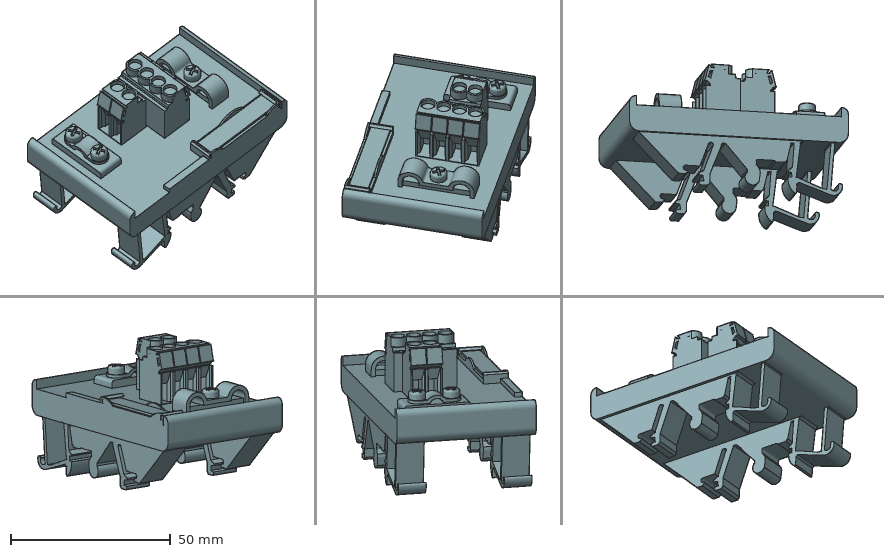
import cadquery as cq


TRAY_X = 45.0
TRAY_Y = 70.0
FLOOR_Z = 8.4
LIP_Z = 11.4
LIP_WIDTH = 2.25
LIP_RADIUS = 2.2
BOTTOM_RADIUS = 3.0
RIGHT_X = TRAY_X / 2
OVERLAP = 0.35

FOOT_WIDTH = 8.95
FOOT_CENTRE_X = 17.1

FOUR_POLE_LENGTH = 20.4
PITCH = FOUR_POLE_LENGTH / 4
BLOCK_CENTRE_Y = -2.4
FOUR_POLE_X = -15.05
TWO_POLE_X = -12.45
BLOCK_INNER = 0.3
BLOCK_OUTER = 11.3
BLOCK_HEIGHT = 16.7
SHELF_HEIGHT = 13.85
COLLAR_CENTRE = 5.25
COLLAR_RADIUS = 2.8
SCREW_HOLE_RADIUS = 2.2
SCREW_HOLE_DEPTH = 1.5
TOP_CORNER = 9.5
UNDERCUT = 9.95
LID_INNER = 8.7
LID_OUTER = 11.8
LID_BOTTOM = 11.2
LID_GAP = 0.35
ENTRY_SILL = 0.2
ENTRY_WIDTH = 4.2
ENTRY_HEIGHT = 9.8
ENTRY_MOUTH = 1.1
FUNNEL_DEPTH = 0.9
WIRE_WIDTH = 2.9
WIRE_HEIGHT = 6.1
WIRE_DEPTH = 4.2

LABEL_X = 14.5
LABEL_Y_MIN = 0.1
LABEL_Y_MAX = 32.35
LABEL_BASE = 1.5
LABEL_TOP = 2.25
LABEL_PLATE_X = 15.3
LABEL_PLATE_WIDTH = 6.3
LABEL_END_WALL = 0.85
CLIP_HEIGHT = 3.5
EAR_THICKNESS = 0.6
EAR_HALF_LENGTH = 5.4
SIDE_EAR_OFFSET = 2.0
EAR_END_OFFSET = 1.1

RIB_WIDTH = 2.5
RIB_HEIGHT = 1.5
RIB_Y_MIN = -17.5

SCREW_RADIUS = 2.65
SCREW_HEIGHT = 2.5
SCREW_ROUNDING = 0.9
CROSS_LENGTH = 3.65
CROSS_WIDTH = 0.8
CROSS_DEPTH = 0.85
CROSS_ANGLE = 25

HOOP_RADIUS = 4.1
HOOP_CENTRE_Z = 2.3
DOUBLE_STRAP = 1.4
DOUBLE_BEND = 0.7
PAD_HEIGHT = 1.9
PAD_INSET = 1.0
DOUBLE_X_MIN = -17.35
DOUBLE_X_MAX = 7.2
DOUBLE_Y = 20.8
DOUBLE_WIDTH = 7.2

BASE_X_MIN = -18.35
BASE_X_MAX = 3.15
BASE_Y = -23.8
BASE_WIDTH = 9.1
BASE_HEIGHT = 2.45
STRAP = 1.0
BASE_ROUNDING = 1.05
SADDLE_X = -7.55
SADDLE_LENGTH = 16.95
SADDLE_WIDTH = 6.3
SADDLE_SCREW_OFFSET = 5.5
HUMP_HALF = 3.15
HUMP_MIDDLE_RISE = 1.0
HUMP_EDGE_RISE = 1.4
HUMP_MIDDLE_WIDTH = 2.0


def box(x_min, x_max, y_min, y_max, z_min, z_max):
    """Block between the given limits."""
    size = (x_max - x_min, y_max - y_min, z_max - z_min)
    return cq.Workplane("XY").box(*size, centered=False).translate((x_min, y_min, z_min))


def make_tray():
    half = TRAY_Y / 2
    lip = half - LIP_WIDTH
    blank = cq.Workplane("YZ").rect(TRAY_Y, LIP_Z).extrude(TRAY_X)
    blank = blank.edges("|X and >Z").fillet(LIP_RADIUS).edges("|X and <Z").fillet(BOTTOM_RADIUS)
    blank = blank.translate((-RIGHT_X, 0, LIP_Z / 2))
    return blank.cut(box(-RIGHT_X, RIGHT_X, -lip, lip, FLOOR_Z, LIP_Z))


def make_foot(centre_x):
    """Sprung foot: fixed hook, spring arm, round nose and release lever."""
    foot = (
        cq.Workplane("YZ")
        .moveTo(31.85, OVERLAP).lineTo(31.85, 0)
        .lineTo(19.2, -12.75).lineTo(17.1, -12.75).lineTo(16.1, -12.05).lineTo(16.5, -11.55)
        .threePointArc((17.6, -10.65), (16.65, -10.0)).lineTo(12.3, -10.0)
        .lineTo(9.5, -2.5).threePointArc((8.8, -2.1), (8.0, -2.9))
        .lineTo(11.05, -11.3).lineTo(12.75, -12.25).lineTo(12.8, -12.8).lineTo(11.35, -13.0)
        .lineTo(11.05, -14.6).lineTo(12.45, -14.9).threePointArc((12.5, -15.7), (11.8, -16.1))
        .lineTo(9.8, -16.1).lineTo(9.2, -15.25).lineTo(9.2, -12.5)
        .lineTo(5.1, -2.2).lineTo(4.1, -2.2).lineTo(-2.9, -10.3).lineTo(-2.9, -11.05)
        .threePointArc((-3.5, -14.9), (-6.65, -13.8)).lineTo(-7.0, -11.05).lineTo(-6.85, -10.0)
        .lineTo(-5.75, -8.4).lineTo(-5.75, -7.3).threePointArc((-5.9, -6.9), (-6.4, -6.8))
        .lineTo(-11.4, -6.8).lineTo(-12.0, -7.2).lineTo(-14.85, -7.2).lineTo(-15.55, -6.5)
        .lineTo(-16.9, -0.8).lineTo(-17.85, -0.7).lineTo(-17.3, -8.55).lineTo(-15.9, -9.8)
        .lineTo(-16.1, -10.3).lineTo(-17.0, -10.35).lineTo(-17.1, -11.75).lineTo(-15.9, -12.05)
        .threePointArc((-16.4, -15.0), (-18.1, -17.1)).lineTo(-18.6, -16.8)
        .lineTo(-18.7, -14.0).lineTo(-19.4, -13.45).lineTo(-29.1, -16.8)
        .threePointArc((-32.05, -16.45), (-33.3, -13.85)).threePointArc((-32.6, -13.1), (-31.85, -13.6))
        .threePointArc((-30.8, -15.55), (-29.6, -15.0))
        .lineTo(-30.8, -0.35).lineTo(-31.15, 0).lineTo(-31.15, OVERLAP)
        .close().extrude(FOOT_WIDTH)
    )
    window = [
        (-20.85, 0), (-19.9, -0.55), (-18.5, -11.75), (-27.1, -15.05),
        (-28.35, -15.1), (-29.6, -0.3), (-29.3, 0),
    ]
    foot = foot.cut(cq.Workplane("YZ").polyline(window).close().extrude(FOOT_WIDTH))
    return foot.translate((centre_x - FOOT_WIDTH / 2, 0, 0))


def make_wire_entry():
    """Funnel-shaped wire entry for one pole, centred on X = 0 and open toward +Y."""
    def section(distance, width, height):
        middle = (ENTRY_SILL + height) / 2
        plane = cq.Plane(origin=(0, distance, middle), xDir=(1, 0, 0), normal=(0, -1, 0))
        return cq.Workplane(plane).rect(width, height - ENTRY_SILL)

    funnel_start = BLOCK_OUTER - ENTRY_MOUTH
    funnel_end = funnel_start - FUNNEL_DEPTH
    mouth = section(BLOCK_OUTER, ENTRY_WIDTH, ENTRY_HEIGHT).extrude(ENTRY_MOUTH)
    end_shift = (WIRE_HEIGHT - ENTRY_HEIGHT) / 2
    funnel = (
        section(funnel_start, ENTRY_WIDTH, ENTRY_HEIGHT)
        .workplane(offset=FUNNEL_DEPTH).center(0, end_shift)
        .rect(WIRE_WIDTH, WIRE_HEIGHT - ENTRY_SILL).loft(combine=True)
    )
    wire_hole = section(funnel_end, WIRE_WIDTH, WIRE_HEIGHT).extrude(WIRE_DEPTH)
    return mouth.union(funnel).union(wire_hole)


def make_terminal_block(poles):
    """Block from X = 0, standing on Z = 0; +Y is the distance from the middle plane."""
    length = poles * PITCH
    side = [
        (BLOCK_INNER, -OVERLAP), (BLOCK_INNER, 12.5), (1.4, 12.5), (1.75, 12.8),
        (1.95, SHELF_HEIGHT), (COLLAR_CENTRE, SHELF_HEIGHT), (COLLAR_CENTRE, BLOCK_HEIGHT),
        (TOP_CORNER, BLOCK_HEIGHT), (LID_INNER, 15.6), (9.7, 15.6), (9.8, 16.2), (10.35, 16.5),
        (11.6, 11.5), (LID_OUTER, 11.35), (10.9, LID_BOTTOM),
        (UNDERCUT, 10.15), (UNDERCUT, ENTRY_HEIGHT), (BLOCK_OUTER, ENTRY_HEIGHT), (BLOCK_OUTER, -OVERLAP),
    ]
    slot = [(9.2, 14.6), (9.9, 14.6), (10.6, 12.75), (9.8, 12.1)]
    block = cq.Workplane("YZ").polyline(side).close().extrude(length)
    pole_centres = [((pole + 0.5) * PITCH, COLLAR_CENTRE) for pole in range(poles)]

    block_room = box(0, length, 0, LID_INNER, 0, BLOCK_HEIGHT)
    for centre_x, centre_y in pole_centres:
        collar = cq.Workplane("XY").circle(COLLAR_RADIUS).extrude(BLOCK_HEIGHT - SHELF_HEIGHT + OVERLAP)
        collar = collar.translate((centre_x, centre_y, SHELF_HEIGHT - OVERLAP))
        block = block.union(collar.intersect(block_room))
    screw_holes = (
        cq.Workplane("XY").workplane(offset=BLOCK_HEIGHT - SCREW_HOLE_DEPTH)
        .pushPoints(pole_centres).circle(SCREW_HOLE_RADIUS).extrude(SCREW_HOLE_DEPTH)
    )
    block = block.cut(screw_holes)
    block = block.cut(cq.Workplane("YZ").polyline(slot).close().extrude(length))

    lid_face = [
        (TOP_CORNER, BLOCK_HEIGHT), (LID_OUTER, BLOCK_HEIGHT),
        (LID_OUTER, LID_BOTTOM), (UNDERCUT, LID_BOTTOM),
    ]
    lid_gap = cq.Workplane("YZ").polyline(lid_face).close().extrude(LID_GAP)
    for gap in range(1, poles):
        block = block.cut(lid_gap.translate((gap * PITCH - LID_GAP / 2, 0, 0)))
    entry = make_wire_entry()
    for centre_x, _ in pole_centres:
        block = block.cut(entry.translate((centre_x, 0, 0)))
    return block


def make_label_holder():
    """Label frame on the right edge: base, raised plate, end clips and sprung ears."""
    width = RIGHT_X - LABEL_X
    middle_y = (LABEL_Y_MIN + LABEL_Y_MAX) / 2
    holder = box(LABEL_X, RIGHT_X, LABEL_Y_MIN, LABEL_Y_MAX, -OVERLAP, LABEL_BASE)
    plate_y_min = LABEL_Y_MIN + LABEL_END_WALL
    plate_y_max = LABEL_Y_MAX - LABEL_END_WALL
    plate_x_max = LABEL_PLATE_X + LABEL_PLATE_WIDTH
    holder = holder.union(box(LABEL_PLATE_X, plate_x_max, plate_y_min, plate_y_max, 0, LABEL_TOP))

    clip_side = [
        (0, 0), (0, 2.95), (0.6, CLIP_HEIGHT), (1.1, CLIP_HEIGHT), (1.9, 2.8),
        (LABEL_END_WALL, 2.8), (LABEL_END_WALL, 0),
    ]
    clip = cq.Workplane("YZ").polyline(clip_side).close().extrude(width)
    clip = clip.translate((LABEL_X, LABEL_Y_MIN, 0))
    holder = holder.union(clip)
    holder = holder.union(clip.mirror("XZ", (0, middle_y, 0)))

    dome = (
        cq.Workplane("YZ").moveTo(-EAR_HALF_LENGTH, LABEL_BASE)
        .threePointArc((0, CLIP_HEIGHT), (EAR_HALF_LENGTH, LABEL_BASE))
        .lineTo(EAR_HALF_LENGTH, 0).lineTo(-EAR_HALF_LENGTH, 0).close().extrude(EAR_THICKNESS)
    )
    far_x = RIGHT_X - EAR_THICKNESS
    first_peak = LABEL_Y_MIN + EAR_END_OFFSET
    last_peak = LABEL_Y_MAX - EAR_END_OFFSET
    end_ears = dome.translate((far_x, first_peak, 0)).union(dome.translate((far_x, last_peak, 0)))
    holder = holder.union(end_ears.intersect(box(far_x, RIGHT_X, first_peak, last_peak, 0, CLIP_HEIGHT)))
    holder = holder.union(dome.translate((LABEL_X, middle_y + SIDE_EAR_OFFSET, 0)))
    return holder.translate((0, 0, FLOOR_Z))


def make_screw(x, y, seat):
    """Rounded screw head with a cross recess, standing at the given height above the floor."""
    head = cq.Workplane("XY").circle(SCREW_RADIUS).extrude(SCREW_HEIGHT)
    head = head.faces(">Z").edges().fillet(SCREW_ROUNDING)
    for angle in (CROSS_ANGLE, CROSS_ANGLE + 90):
        arm = cq.Workplane("XY").rect(CROSS_LENGTH, CROSS_WIDTH).extrude(CROSS_DEPTH)
        arm = arm.rotate((0, 0, 0), (0, 0, 1), angle)
        head = head.cut(arm.translate((0, 0, SCREW_HEIGHT - CROSS_DEPTH)))
    return head.translate((x, y, FLOOR_Z + seat))


def make_double_clamp():
    """Strap with a cable hoop at each side of a screwed-down middle, on a narrower pad."""
    y_min = DOUBLE_Y - DOUBLE_WIDTH / 2
    y_max = y_min + DOUBLE_WIDTH

    def hoops(radius):
        shape = None
        for x in (DOUBLE_X_MIN + HOOP_RADIUS, DOUBLE_X_MAX - HOOP_RADIUS):
            arch = (
                cq.Workplane("XZ").moveTo(x - radius, -OVERLAP).lineTo(x - radius, HOOP_CENTRE_Z)
                .threePointArc((x, HOOP_CENTRE_Z + radius), (x + radius, HOOP_CENTRE_Z))
                .lineTo(x + radius, -OVERLAP).close().extrude(-DOUBLE_WIDTH)
            ).translate((0, y_min, 0))
            shape = arch if shape is None else shape.union(arch)
        return shape

    middle_x = (DOUBLE_X_MIN + DOUBLE_X_MAX) / 2
    left_centre = DOUBLE_X_MIN + HOOP_RADIUS
    right_centre = DOUBLE_X_MAX - HOOP_RADIUS
    seat = PAD_HEIGHT + DOUBLE_STRAP
    clamp = hoops(HOOP_RADIUS).union(box(left_centre, right_centre, y_min, y_max, PAD_HEIGHT, seat))
    bend_room = (
        (left_centre, y_min - OVERLAP, PAD_HEIGHT + OVERLAP),
        (right_centre, y_max + OVERLAP, seat + OVERLAP),
    )
    clamp = clamp.edges("|Y").edges(cq.selectors.BoxSelector(*bend_room)).fillet(DOUBLE_BEND)
    clamp = clamp.cut(hoops(HOOP_RADIUS - DOUBLE_STRAP))
    clamp = clamp.cut(box(left_centre, right_centre, y_min, y_max, -OVERLAP, PAD_HEIGHT))
    pad = box(
        DOUBLE_X_MIN + OVERLAP, DOUBLE_X_MAX - OVERLAP,
        y_min + PAD_INSET, y_max - PAD_INSET, -OVERLAP, PAD_HEIGHT,
    )
    clamp = clamp.union(pad).translate((0, 0, FLOOR_Z))
    return clamp.union(make_screw(middle_x, DOUBLE_Y, seat))


def make_single_clamp():
    """Base pad with a humped saddle strap held by two screws."""
    y_min = BASE_Y - BASE_WIDTH / 2
    base = box(BASE_X_MIN, BASE_X_MAX, y_min, y_min + BASE_WIDTH, -OVERLAP, BASE_HEIGHT)
    base = base.edges("|Y and >Z").fillet(BASE_ROUNDING)

    half = SADDLE_LENGTH / 2
    top = BASE_HEIGHT + STRAP
    inner_half = HUMP_HALF - STRAP

    def section(plane, rise):
        """Outline of the strap across its length, with the given hump rise."""
        return (
            plane.moveTo(-half, BASE_HEIGHT).lineTo(-half, top).lineTo(-HUMP_HALF, top)
            .threePointArc((0, top + rise), (HUMP_HALF, top)).lineTo(half, top)
            .lineTo(half, BASE_HEIGHT).lineTo(inner_half, BASE_HEIGHT)
            .threePointArc((0, BASE_HEIGHT + rise), (-inner_half, BASE_HEIGHT)).close()
        )

    middle_half = HUMP_MIDDLE_WIDTH / 2
    flare = section(cq.Workplane("XZ", origin=(0, -middle_half, 0)), HUMP_MIDDLE_RISE)
    flare = flare.workplane(offset=SADDLE_WIDTH / 2 - middle_half)
    flare = section(flare, HUMP_EDGE_RISE).loft(ruled=True, combine=True)
    strap = section(cq.Workplane("XZ"), HUMP_MIDDLE_RISE).extrude(middle_half, both=True)
    strap = strap.union(flare).union(flare.mirror("XZ"))
    rounded_plan = cq.Workplane("XY").slot2D(SADDLE_LENGTH, SADDLE_WIDTH).extrude(2 * top)
    strap = strap.intersect(rounded_plan)
    clamp = base.union(strap.translate((SADDLE_X, BASE_Y, 0))).translate((0, 0, FLOOR_Z))
    for offset in (-SADDLE_SCREW_OFFSET, SADDLE_SCREW_OFFSET):
        clamp = clamp.union(make_screw(SADDLE_X + offset, BASE_Y, top))
    return clamp


result = make_tray()
for foot_x in (-FOOT_CENTRE_X, FOOT_CENTRE_X):
    result = result.union(make_foot(foot_x))

four_pole = make_terminal_block(4)
two_pole = make_terminal_block(2).mirror("XZ")
result = result.union(four_pole.translate((FOUR_POLE_X, BLOCK_CENTRE_Y, FLOOR_Z)))
result = result.union(two_pole.translate((TWO_POLE_X, BLOCK_CENTRE_Y, FLOOR_Z)))

result = result.union(make_label_holder())
rib_x = RIGHT_X - RIB_WIDTH
result = result.union(box(rib_x, RIGHT_X, RIB_Y_MIN, LABEL_Y_MIN, FLOOR_Z - OVERLAP, FLOOR_Z + RIB_HEIGHT))
result = result.union(make_double_clamp())
result = result.union(make_single_clamp())